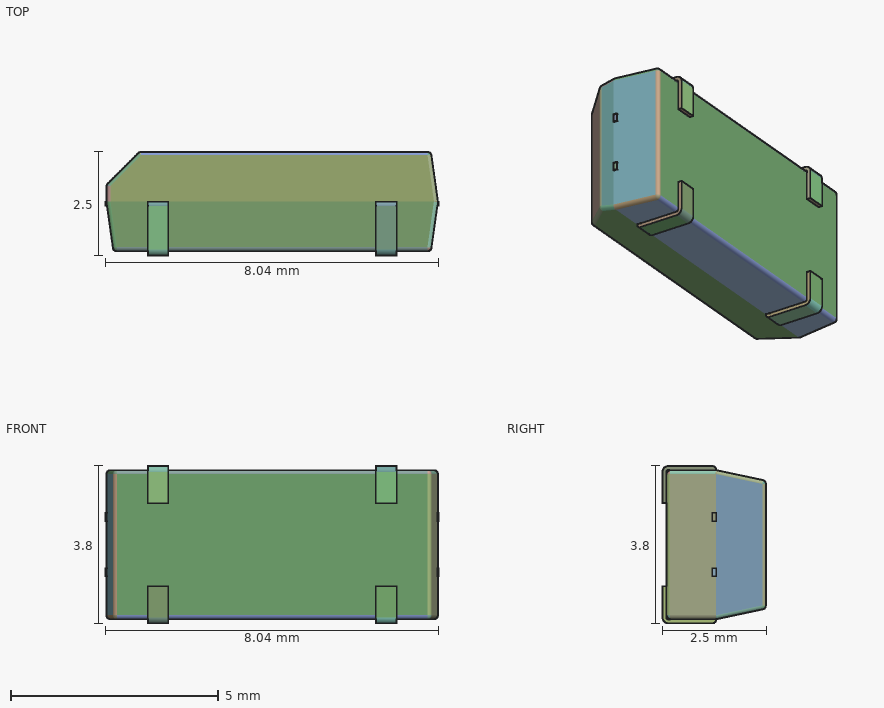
import cadquery as cq
import math

length = 8.0
height = 3.6
half_depth = 1.2
end_draft = 8.0
rear_draft = 12.0
bevel = 0.8
edge_radius = 0.1

strip_thickness = 0.1
lead_width = 0.5
lead_pitch = 5.5
foot_length = 0.9
foot_bend_radius = 0.15
lead_embed = 0.5

tab_width = 0.2
tab_pitch = 1.33
tab_embed = 0.5
tab_overhang = 0.02

end_x = length / 2
top_z = height / 2
end_inset = half_depth * math.tan(math.radians(end_draft))
rear_inset = half_depth * math.tan(math.radians(rear_draft))


def make_housing_blank():
    """Drafted block: the plan outline crossed with the end outline, with rounded edges."""
    plan = (
        cq.Workplane("XY")
        .polyline([
            (-end_x + end_inset, -half_depth),
            (end_x - end_inset, -half_depth),
            (end_x, 0),
            (end_x - end_inset, half_depth),
            (-end_x + bevel, half_depth),
            (-end_x, half_depth - bevel),
            (-end_x, 0),
        ])
        .close()
        .extrude(top_z, both=True)
    )
    end_outline = (
        cq.Workplane("YZ")
        .polyline([
            (-half_depth, -top_z),
            (0, -top_z),
            (half_depth, -top_z + rear_inset),
            (half_depth, top_z - rear_inset),
            (0, top_z),
            (-half_depth, top_z),
        ])
        .close()
        .extrude(end_x, both=True)
    )
    block = plan.intersect(end_outline)
    slab_margin = 0.01
    parting_edges = cq.selectors.BoxSelector(
        (-length, -slab_margin, -height),
        (length, slab_margin, height),
        boundingbox=True,
    )
    return block.edges(cq.selectors.InverseSelector(parting_edges)).fillet(edge_radius)


def bend_middle(center_y, center_z, radius, direction_y, side):
    """Middle point of a quarter bend; direction_y is 1 for the rear quarter, -1 for the front."""
    offset = radius * math.sqrt(0.5)
    return (center_y + direction_y * offset, side * (center_z + offset))


def make_lead(center_x, side):
    """Bent strip over the top (side = 1) or bottom (side = -1) wall, ending in a front foot."""
    outer_z = top_z + strip_thickness
    tip_z = outer_z - foot_length
    root_z = top_z - lead_embed
    foot_front = -half_depth - strip_thickness
    inner_bend_radius = foot_bend_radius - strip_thickness
    bend_y = foot_front + foot_bend_radius
    bend_z = outer_z - foot_bend_radius
    profile = (
        cq.Workplane("YZ", origin=(center_x, 0, 0))
        .moveTo(foot_front, side * tip_z)
        .lineTo(foot_front, side * bend_z)
        .threePointArc(
            bend_middle(bend_y, bend_z, foot_bend_radius, -1, side),
            (bend_y, side * outer_z),
        )
        .lineTo(-strip_thickness, side * outer_z)
        .threePointArc(
            bend_middle(-strip_thickness, top_z, strip_thickness, 1, side),
            (0, side * top_z),
        )
        .lineTo(0, side * root_z)
        .lineTo(-strip_thickness, side * root_z)
        .lineTo(-strip_thickness, side * top_z)
        .lineTo(bend_y, side * top_z)
        .threePointArc(
            bend_middle(bend_y, bend_z, inner_bend_radius, -1, side),
            (-half_depth, side * bend_z),
        )
        .lineTo(-half_depth, side * tip_z)
        .close()
    )
    return profile.extrude(lead_width / 2, both=True)


def make_tab(end, center_z):
    """Flat strip set into the +X (end = 1) or -X (end = -1) wall in front of the parting plane."""
    return cq.Workplane("XY").box(
        tab_embed + tab_overhang, strip_thickness, tab_width
    ).translate((end * (end_x + (tab_overhang - tab_embed) / 2), -strip_thickness / 2, center_z))


leads = []
for lead_x in (-lead_pitch / 2, lead_pitch / 2):
    for side in (-1, 1):
        leads.append(make_lead(lead_x, side))

tabs = []
for tab_z in (-tab_pitch / 2, tab_pitch / 2):
    for end in (-1, 1):
        tabs.append(make_tab(end, tab_z))

housing = make_housing_blank()
for insert in leads + tabs:
    housing = housing.cut(insert)

result = cq.Compound.makeCompound(
    [housing.solids().val()] + [lead.val() for lead in leads] + [tab.val() for tab in tabs]
)